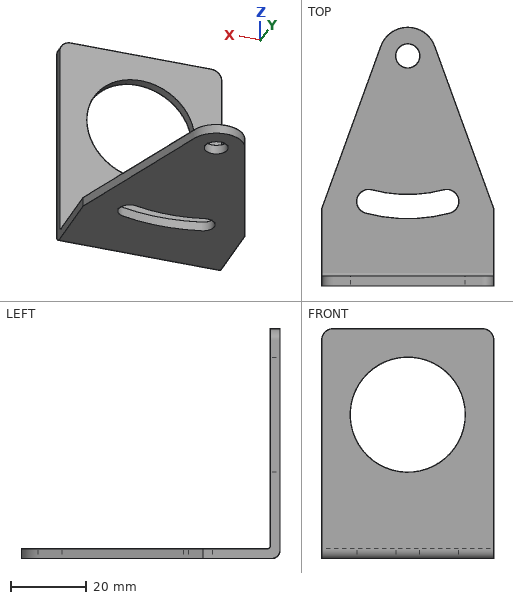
import cadquery as cq
import math

width = 45.72
depth = 68.71
height = 61.09
thickness = 2.667
inner_bend_radius = 0.76
outer_bend_radius = 2.29

corner_radius = 3.048
bore_diameter = 30.48
bore_below_top = 22.86

straight_length = 20.55
tip_radius = 7.62
pivot_diameter = 6.35

slot_radius = 40.0
slot_width = 6.35
slot_half_angle = 15

pivot_y = depth - tip_radius


def polar_from_pivot(radius, angle):
    """Point at a radius from the pivot, angle in degrees from the -Y direction."""
    turn = math.radians(angle)
    return (radius * math.sin(turn), pivot_y - radius * math.cos(turn))


def make_angle():
    """L-shaped bent sheet: base on Z = 0, upright with its outer face on Y = 0."""
    sharp_angle = (
        cq.Workplane("YZ")
        .polyline([
            (0, 0),
            (depth, 0),
            (depth, thickness),
            (thickness, thickness),
            (thickness, height),
            (0, height),
        ])
        .close()
        .extrude(width / 2, both=True)
    )
    inner_corner = cq.selectors.NearestToPointSelector((0, thickness, thickness))
    outer_corner = cq.selectors.NearestToPointSelector((0, 0, 0))
    bent = sharp_angle.edges("|X").edges(inner_corner).fillet(inner_bend_radius)
    return bent.edges("|X").edges(outer_corner).fillet(outer_bend_radius)


def make_base_outline():
    """Full-height prism of the base outline; the taper is tangent to the tip arc."""
    half_width = width / 2
    taper_run = pivot_y - straight_length
    corner_distance = math.hypot(half_width, taper_run)
    corner_angle = math.degrees(math.atan2(half_width, taper_run))
    tangent_angle = corner_angle + math.degrees(math.acos(tip_radius / corner_distance))
    tangent_x, tangent_y = polar_from_pivot(tip_radius, tangent_angle)
    return (
        cq.Workplane("XY")
        .moveTo(-half_width, 0)
        .lineTo(half_width, 0)
        .lineTo(half_width, straight_length)
        .lineTo(tangent_x, tangent_y)
        .threePointArc((0, depth), (-tangent_x, tangent_y))
        .lineTo(-half_width, straight_length)
        .close()
        .extrude(height)
    )


def make_arc_slot():
    """Cutter for the round-ended slot that is centred on the pivot hole."""
    outer_radius = slot_radius + slot_width / 2
    inner_radius = slot_radius - slot_width / 2
    outer_right = polar_from_pivot(outer_radius, slot_half_angle)
    outer_left = polar_from_pivot(outer_radius, -slot_half_angle)
    inner_right = polar_from_pivot(inner_radius, slot_half_angle)
    inner_left = polar_from_pivot(inner_radius, -slot_half_angle)
    end_x, end_y = polar_from_pivot(slot_radius, slot_half_angle)
    turn = math.radians(slot_half_angle)
    crown_x = end_x + slot_width / 2 * math.cos(turn)
    crown_y = end_y + slot_width / 2 * math.sin(turn)
    return (
        cq.Workplane("XY")
        .moveTo(*outer_left)
        .threePointArc(polar_from_pivot(outer_radius, 0), outer_right)
        .threePointArc((crown_x, crown_y), inner_right)
        .threePointArc(polar_from_pivot(inner_radius, 0), inner_left)
        .threePointArc((-crown_x, crown_y), outer_left)
        .close()
        .extrude(thickness)
    )


def make_pivot_hole():
    """Cutter for the round hole concentric with the base tip."""
    return cq.Workplane("XY").center(0, pivot_y).circle(pivot_diameter / 2).extrude(thickness)


def make_bore():
    """Cutter for the large hole through the upright."""
    return (
        cq.Workplane("XZ")
        .center(0, height - bore_below_top)
        .circle(bore_diameter / 2)
        .extrude(-thickness)
    )


def round_top_corners(bracket):
    """Round the two top corners of the upright."""
    return bracket.faces(">Z").edges("|Y").fillet(corner_radius)


bracket = make_angle().intersect(make_base_outline())
bracket = round_top_corners(bracket)
result = bracket.cut(make_arc_slot()).cut(make_pivot_hole()).cut(make_bore())